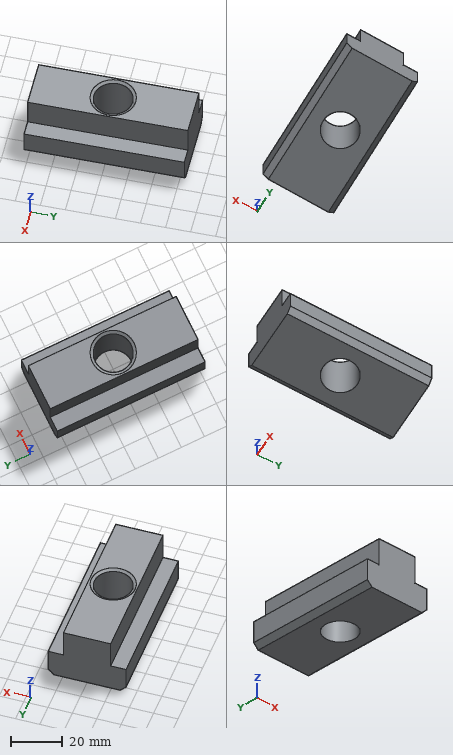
import cadquery as cq

length = 64.0
base_width = length / 2
height = 24.0

stem_width = 19.4
base_height = height / 2
bottom_chamfer = 2.4

hole_diameter = 15.5
countersink_diameter = 18.0
countersink_angle = 120.0


def centred_bar(width, bar_height):
    """Bar along Y, centred in X and Y, standing on Z = 0."""
    return cq.Workplane("XY").box(width, length, bar_height, centered=(True, True, False))


base = centred_bar(base_width, base_height).edges("|Y and <Z").chamfer(bottom_chamfer)
stem = centred_bar(stem_width, height)
body = base.union(stem)

result = body.faces(">Z").workplane(origin=(0, 0, height)).cskHole(
    hole_diameter, countersink_diameter, countersink_angle
)